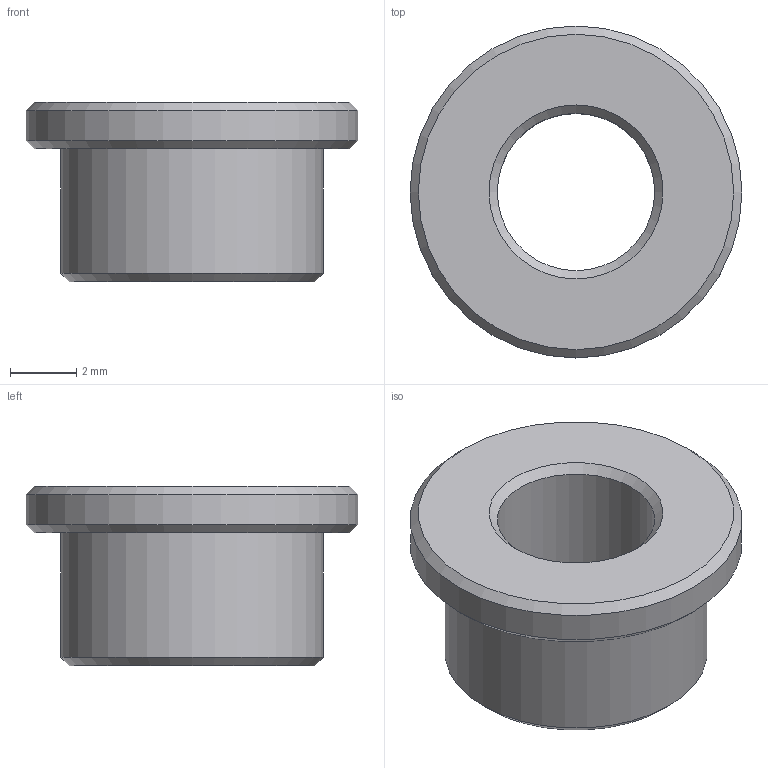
import cadquery as cq

flange_diameter = 10.0
flange_thickness = 1.4
sleeve_diameter = 7.9
sleeve_length = 4.0
bore_diameter = 4.74
edge_chamfer = 0.25

total_height = sleeve_length + flange_thickness


def make_sleeve():
    """Cylindrical sleeve with a chamfered lower rim."""
    sleeve = cq.Workplane("XY").circle(sleeve_diameter / 2).extrude(sleeve_length)
    return sleeve.faces("<Z").edges().chamfer(edge_chamfer)


def make_flange():
    """Flange on top of the sleeve, with both rims chamfered."""
    flange = (
        cq.Workplane("XY")
        .workplane(offset=sleeve_length)
        .circle(flange_diameter / 2)
        .extrude(flange_thickness)
    )
    return flange.edges("%CIRCLE").chamfer(edge_chamfer)


def make_bore():
    """Cutter for the through bore, flared at its upper mouth."""
    bore = cq.Workplane("XY").circle(bore_diameter / 2).extrude(total_height)
    mouth = (
        cq.Workplane("XY")
        .workplane(offset=total_height - edge_chamfer)
        .circle(bore_diameter / 2)
        .workplane(offset=edge_chamfer)
        .circle(bore_diameter / 2 + edge_chamfer)
        .loft(ruled=True)
    )
    return bore.union(mouth)


result = make_sleeve().union(make_flange()).cut(make_bore())